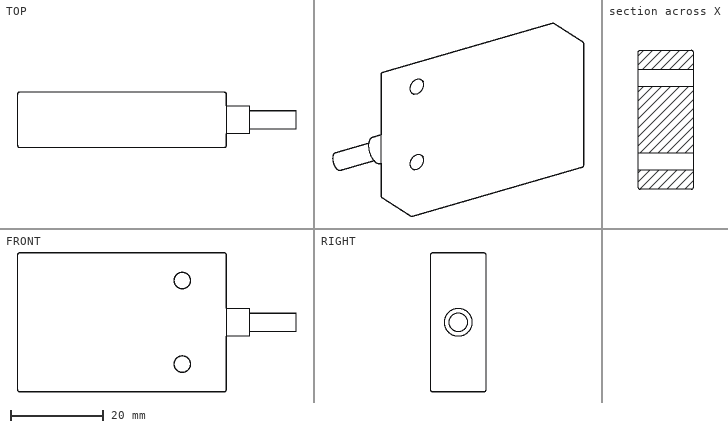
import cadquery as cq

housing_length = 45.0
housing_depth = 12.0
housing_height = 30.0
edge_radius = 0.5

hole_diameter = 3.5
hole_spacing = 18.0
hole_from_left = 35.5

collar_diameter = 6.0
collar_length = 5.0
cable_diameter = 4.0
cable_length = 10.0


def make_housing():
    """Block with every edge rounded."""
    block = cq.Workplane("XY").box(
        housing_length, housing_depth, housing_height, centered=(False, True, True)
    )
    return block.edges().fillet(edge_radius)


def make_mounting_holes():
    """Cutters for the two holes, running along Y through the housing."""
    hole_centres = [
        (hole_from_left, -hole_spacing / 2),
        (hole_from_left, hole_spacing / 2),
    ]
    return (
        cq.Workplane("XZ")
        .pushPoints(hole_centres)
        .circle(hole_diameter / 2)
        .extrude(housing_depth, both=True)
    )


def make_cylinder_along_x(start, diameter, length):
    """Round bar on the X axis, beginning at X = start."""
    return cq.Workplane("YZ", origin=(start, 0, 0)).circle(diameter / 2).extrude(length)


collar = make_cylinder_along_x(housing_length, collar_diameter, collar_length)
cable = make_cylinder_along_x(housing_length + collar_length, cable_diameter, cable_length)

result = make_housing().cut(make_mounting_holes()).union(collar).union(cable)